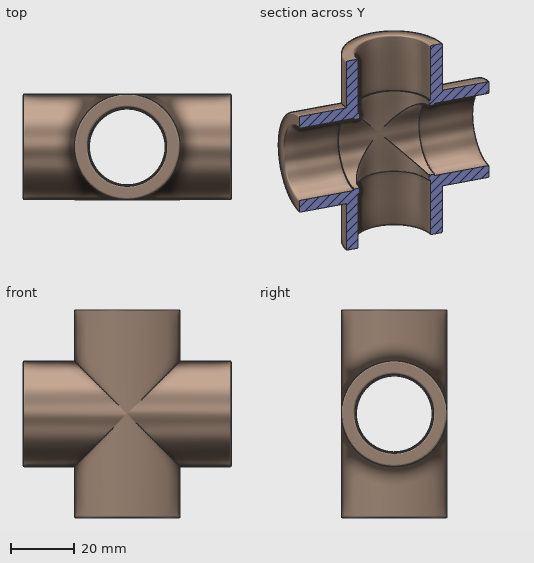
import cadquery as cq

length = 66.0
outer_diameter = 33.5
socket_diameter = 25.0
bore_diameter = 24.0
socket_depth = 19.0
edge_radius = 0.5

half_length = length / 2
run_planes = ("XY", "YZ")


def run_cylinder(plane, diameter):
    """Full-length cylinder centred on the origin, normal to the plane."""
    return cq.Workplane(plane).circle(diameter / 2).extrude(half_length, both=True)


def socket(plane, side):
    """Pipe seat cut inwards from the arm end on the given side of the plane."""
    return (
        cq.Workplane(plane)
        .workplane(offset=side * half_length)
        .circle(socket_diameter / 2)
        .extrude(-side * socket_depth)
    )


cross = run_cylinder("XY", outer_diameter).union(run_cylinder("YZ", outer_diameter))

for plane in run_planes:
    cross = cross.cut(run_cylinder(plane, bore_diameter))
    for side in (-1, 1):
        cross = cross.cut(socket(plane, side))

for rim_faces in (">Z", "<Z", ">X", "<X"):
    cross = cross.faces(rim_faces).edges().fillet(edge_radius)

result = cross